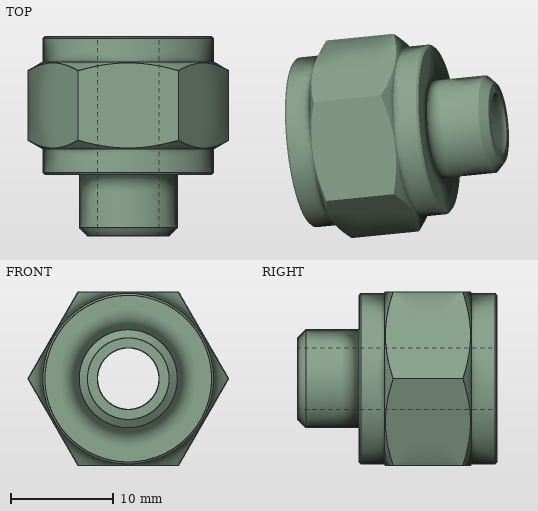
import cadquery as cq
import math

corner_width = 19.63
spigot_length = 6.0
spigot_diameter = 9.6
spigot_chamfer = 0.8
collar_length = 2.5
collar_diameter = 16.7
collar_chamfer = 0.2
hex_length = 8.5
hex_chamfer_angle = 30.0
bore_diameter = 6.0

front_collar_start = spigot_length
hex_start = front_collar_start + collar_length
hex_end = hex_start + hex_length
total_length = hex_end + collar_length

corner_radius = corner_width / 2
collar_radius = collar_diameter / 2
corner_setback = (corner_radius - collar_radius) * math.tan(math.radians(hex_chamfer_angle))


def section_at(y):
    """Workplane across the axis at height y, with its normal along +Y."""
    return cq.Workplane(cq.Plane(origin=(0, y, 0), xDir=(1, 0, 0), normal=(0, 1, 0)))


def make_hex():
    """Hexagon with corners on the X axis, its ends turned down to the collar radius."""
    prism = section_at(hex_start).polygon(6, corner_width).extrude(hex_length)
    turned_envelope = (
        cq.Workplane("XY")
        .moveTo(0, hex_start)
        .lineTo(collar_radius, hex_start)
        .lineTo(corner_radius, hex_start + corner_setback)
        .lineTo(corner_radius, hex_end - corner_setback)
        .lineTo(collar_radius, hex_end)
        .lineTo(0, hex_end)
        .close()
        .revolve(360, (0, 0, 0), (0, 1, 0))
    )
    return prism.intersect(turned_envelope)


def make_collars():
    """Round barrel through the hexagon, showing as a collar at each end."""
    barrel_length = total_length - front_collar_start
    barrel = section_at(front_collar_start).circle(collar_radius).extrude(barrel_length)
    return barrel.faces("<Y or >Y").edges().chamfer(collar_chamfer)


def make_spigot():
    """Spigot with a chamfered tip, running up to the hexagon inside the collar."""
    spigot = section_at(0).circle(spigot_diameter / 2).extrude(hex_start)
    return spigot.faces("<Y").edges().chamfer(spigot_chamfer)


bore = section_at(0).circle(bore_diameter / 2).extrude(total_length)

result = make_hex().union(make_collars()).union(make_spigot()).cut(bore)